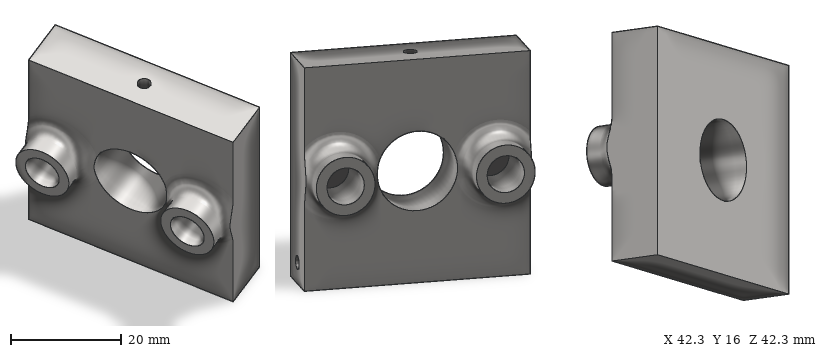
import cadquery as cq

side = 42.3
plate_thickness = 10.0
bore_diameter = 15.0

boss_spacing = 30.0
boss_diameter = 11.0
boss_height = 6.0
boss_fillet = boss_height / 2
socket_diameter = 7.0
socket_depth = boss_height + plate_thickness / 2

cross_hole_diameter = 2.5
side_hole_height = 4.0
side_hole_depth = 10.58

mid_y = plate_thickness / 2
boss_centres = [(-boss_spacing / 2, 0), (boss_spacing / 2, 0)]


def make_plate():
    return cq.Workplane("XY").box(side, plate_thickness, side).translate((0, mid_y, 0))


def make_boss():
    """Boss with a concave flare at its root, revolved about its own Y axis."""
    radius = boss_diameter / 2
    flare_radius = radius + boss_fillet
    sag = boss_fillet * (1 - 0.5**0.5)
    return (
        cq.Workplane("XY")
        .moveTo(0, mid_y)
        .lineTo(0, -boss_height)
        .lineTo(radius, -boss_height)
        .lineTo(radius, -boss_fillet)
        .threePointArc((radius + sag, -sag), (flare_radius, 0))
        .lineTo(flare_radius, mid_y)
        .close()
        .revolve(360, (0, 0, 0), (0, 1, 0))
    )


def cylinder_along_y(diameter, start_y, length):
    return cq.Workplane("XZ", origin=(0, start_y, 0)).circle(diameter / 2).extrude(-length)


total_depth = plate_thickness + boss_height
body = make_plate()
for x, z in boss_centres:
    body = body.union(make_boss().translate((x, 0, z)))

envelope = cq.Workplane("XY").box(side, total_depth, side)
body = body.intersect(envelope.translate((0, plate_thickness - total_depth / 2, 0)))

body = body.cut(cylinder_along_y(bore_diameter, -boss_height, total_depth))

for x, z in boss_centres:
    body = body.cut(cylinder_along_y(socket_diameter, -boss_height, socket_depth).translate((x, 0, z)))

top_hole = cq.Workplane("XY", origin=(0, mid_y, 0)).circle(cross_hole_diameter / 2).extrude(side / 2)
body = body.cut(top_hole)

side_hole = (
    cq.Workplane("YZ", origin=(-side / 2, mid_y, side_hole_height - side / 2))
    .circle(cross_hole_diameter / 2)
    .extrude(side_hole_depth)
)
result = body.cut(side_hole)